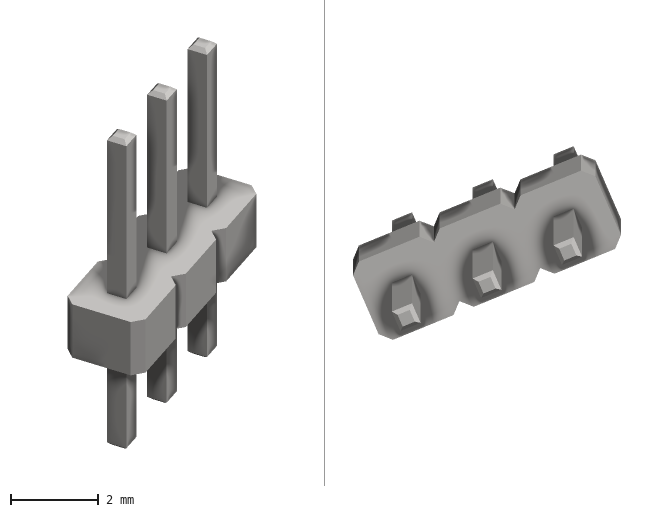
import cadquery as cq

pin_count = 3
pitch = 2.0
housing_width = 2.0
housing_height = 1.5
corner_chamfer = 0.25

pin_side = 0.5
pin_length = 8.7
pin_below_housing = 2.8
pin_tip_chamfer = 0.1


def housing_segment(y_center):
    """One square cell of the housing with chamfered vertical edges."""
    return (
        cq.Workplane("XY")
        .center(0, y_center)
        .rect(housing_width, pitch)
        .extrude(housing_height)
        .edges("|Z")
        .chamfer(corner_chamfer)
    )


def pin(y_center):
    """One square pin with both tips chamfered on all four sides."""
    return (
        cq.Workplane("XY", origin=(0, y_center, -pin_below_housing))
        .rect(pin_side, pin_side)
        .extrude(pin_length)
        .faces("<Z or >Z")
        .chamfer(pin_tip_chamfer)
    )


row_start = -pitch * (pin_count - 1) / 2
pin_positions = [row_start + index * pitch for index in range(pin_count)]

result = housing_segment(pin_positions[0])
for y_center in pin_positions[1:]:
    result = result.union(housing_segment(y_center))
for y_center in pin_positions:
    result = result.union(pin(y_center))
result = result.clean()